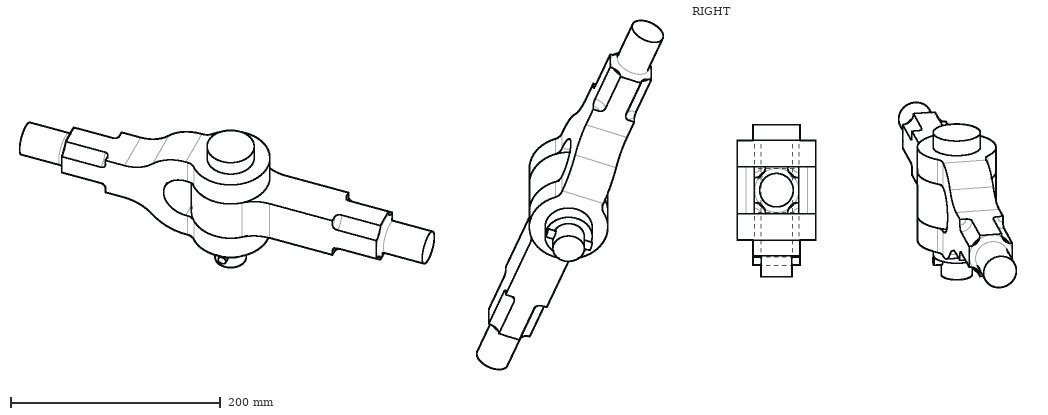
import cadquery as cq
import math


KNUCKLE_DIAMETER = 75.0
KNUCKLE_RADIUS = KNUCKLE_DIAMETER / 2
EYE_HEIGHT = 45.0
CHEEK_THICKNESS = 25.0
FORK_HEIGHT = EYE_HEIGHT + 2 * CHEEK_THICKNESS
ARM_WIDTH = 42.0
HALF_WIDTH = ARM_WIDTH / 2

FORK_ARM_HEIGHT = ARM_WIDTH
FORK_ARM_END_X = -165.0
FORK_ARC_CENTER_X = -38.0
FORK_SHOULDER_BLEND = 40.0
FORK_SIDE_BLEND = 10.0

EYE_ARM_END_X = 157.5
EYE_SIDE_BLEND = 40.0

STUD_DIAMETER = 32.0
STUD_LENGTH = 45.0
STUD_FLARE = (ARM_WIDTH - STUD_DIAMETER) / 2

SCALLOP_RADIUS = 10.5
SCALLOP_LENGTH = 45.0
SCALLOP_END_FILLET = 5.0

PIN_DIAMETER = 30.0
PIN_HEAD_DIAMETER = 45.0
PIN_HEAD_HEIGHT = 15.0
PIN_TAIL_LENGTH = 20.0
COLLAR_DIAMETER = 45.0
COLLAR_HEIGHT = 15.0
CROSS_PIN_DIAMETER = 8.0
CROSS_PIN_LENGTH = COLLAR_DIAMETER
CROSS_PIN_DROP = 5.0

FORK_TOP_Z = FORK_HEIGHT / 2
COLLAR_BOTTOM_Z = -FORK_TOP_Z - COLLAR_HEIGHT
PIN_BOTTOM_Z = COLLAR_BOTTOM_Z - PIN_TAIL_LENGTH
CROSS_PIN_Z = COLLAR_BOTTOM_Z - CROSS_PIN_DROP


def z_cylinder(diameter, bottom, top):
    """Cylinder on the pin axis between two heights."""
    return cq.Workplane("XY").workplane(offset=bottom).circle(diameter / 2).extrude(top - bottom)


def arm_and_knuckle(end_x, blend_radius, height):
    """Round knuckle with a straight arm to end_x, joined by tangent side blends."""
    side = math.copysign(1, end_x)
    blend_y = HALF_WIDTH + blend_radius
    blend_x = math.sqrt((KNUCKLE_RADIUS + blend_radius) ** 2 - blend_y ** 2)
    touch_share = KNUCKLE_RADIUS / (KNUCKLE_RADIUS + blend_radius)
    touch_x = side * blend_x * touch_share
    touch_y = blend_y * touch_share
    middle_angle = (math.atan2(blend_y, blend_x) + math.pi / 2) / 2
    middle_x = side * (blend_x - blend_radius * math.cos(middle_angle))
    middle_y = blend_y - blend_radius * math.sin(middle_angle)
    outline = (
        cq.Workplane("XY")
        .workplane(offset=-height / 2)
        .moveTo(end_x, HALF_WIDTH)
        .lineTo(side * blend_x, HALF_WIDTH)
        .threePointArc((middle_x, middle_y), (touch_x, touch_y))
        .threePointArc((-side * KNUCKLE_RADIUS, 0), (touch_x, -touch_y))
        .threePointArc((middle_x, -middle_y), (side * blend_x, -HALF_WIDTH))
        .lineTo(end_x, -HALF_WIDTH)
        .close()
    )
    return outline.extrude(height)


def fork_side_profile():
    """Side outline of the fork: slim arm flaring through S-curves to the full height."""
    outer = FORK_TOP_Z
    half_arm = FORK_ARM_HEIGHT / 2
    blend_z = half_arm + FORK_SHOULDER_BLEND
    blend_run = math.sqrt((outer + FORK_SHOULDER_BLEND) ** 2 - blend_z ** 2)
    blend_x = FORK_ARC_CENTER_X - blend_run
    slope = math.atan2(blend_z, blend_run)
    touch_x = FORK_ARC_CENTER_X - outer * math.cos(slope)
    touch_z = outer * math.sin(slope)
    middle_angle = (slope + math.pi / 2) / 2
    shoulder_x = FORK_ARC_CENTER_X - outer * math.cos(middle_angle)
    shoulder_z = outer * math.sin(middle_angle)
    neck_x = blend_x + FORK_SHOULDER_BLEND * math.cos(middle_angle)
    neck_z = blend_z - FORK_SHOULDER_BLEND * math.sin(middle_angle)
    return (
        cq.Workplane("XZ")
        .moveTo(FORK_ARM_END_X, half_arm)
        .lineTo(blend_x, half_arm)
        .threePointArc((neck_x, neck_z), (touch_x, touch_z))
        .threePointArc((shoulder_x, shoulder_z), (FORK_ARC_CENTER_X, outer))
        .lineTo(KNUCKLE_RADIUS, outer)
        .lineTo(KNUCKLE_RADIUS, -outer)
        .lineTo(FORK_ARC_CENTER_X, -outer)
        .threePointArc((shoulder_x, -shoulder_z), (touch_x, -touch_z))
        .threePointArc((neck_x, -neck_z), (blend_x, -half_arm))
        .lineTo(FORK_ARM_END_X, -half_arm)
        .close()
        .extrude(KNUCKLE_RADIUS, both=True)
    )


def fork_throat():
    """Round-bottomed slot between the cheeks."""
    half_gap = EYE_HEIGHT / 2
    return (
        cq.Workplane("XZ")
        .moveTo(KNUCKLE_RADIUS, half_gap)
        .lineTo(FORK_ARC_CENTER_X, half_gap)
        .threePointArc((FORK_ARC_CENTER_X - half_gap, 0), (FORK_ARC_CENTER_X, -half_gap))
        .lineTo(KNUCKLE_RADIUS, -half_gap)
        .close()
        .extrude(KNUCKLE_RADIUS, both=True)
    )


def stud(end_x):
    """Stud beyond the arm end, with a concave flare at its root."""
    side = math.copysign(1, end_x)
    radius = STUD_DIAMETER / 2
    diagonal = STUD_FLARE * (1 - math.sqrt(0.5))
    return (
        cq.Workplane("XY")
        .moveTo(end_x, 0)
        .lineTo(end_x, radius + STUD_FLARE)
        .threePointArc(
            (end_x + side * diagonal, radius + diagonal),
            (end_x + side * STUD_FLARE, radius),
        )
        .lineTo(end_x + side * STUD_LENGTH, radius)
        .lineTo(end_x + side * STUD_LENGTH, 0)
        .close()
        .revolve(360, (0, 0), (1, 0))
    )


def scallop_cutters(end_x, arm_height):
    """Round-ended cutters centred on the four long edges of the arm."""
    side = math.copysign(1, end_x)
    cutter = (
        cq.Workplane("YZ")
        .workplane(offset=end_x)
        .rect(ARM_WIDTH, arm_height, forConstruction=True)
        .vertices()
        .circle(SCALLOP_RADIUS)
        .extrude(-side * SCALLOP_LENGTH)
    )
    inner_end = "<X" if side > 0 else ">X"
    return cutter.faces(inner_end).edges().fillet(SCALLOP_END_FILLET)


def finish_arm(body, end_x, arm_height):
    """Scallop the arm edges, add the stud and bore the pin hole."""
    body = body.cut(scallop_cutters(end_x, arm_height)).union(stud(end_x))
    return body.cut(z_cylinder(PIN_DIAMETER, -FORK_TOP_Z, FORK_TOP_Z))


def make_fork():
    """Fork with two cheeks that straddle the eye."""
    fork = arm_and_knuckle(FORK_ARM_END_X, FORK_SIDE_BLEND, FORK_HEIGHT)
    fork = fork.intersect(fork_side_profile()).cut(fork_throat())
    return finish_arm(fork, FORK_ARM_END_X, FORK_ARM_HEIGHT)


def make_eye_rod():
    """Flat eye rod that fills the gap between the fork cheeks."""
    eye_rod = arm_and_knuckle(EYE_ARM_END_X, EYE_SIDE_BLEND, EYE_HEIGHT)
    return finish_arm(eye_rod, EYE_ARM_END_X, EYE_HEIGHT)


def make_cross_pin():
    """Plain cross pin along Y that holds the collar on."""
    return (
        cq.Workplane("XZ")
        .center(0, CROSS_PIN_Z)
        .circle(CROSS_PIN_DIAMETER / 2)
        .extrude(CROSS_PIN_LENGTH / 2, both=True)
    )


def make_pin():
    """Headed pin, cross-drilled through its tail."""
    head = z_cylinder(PIN_HEAD_DIAMETER, FORK_TOP_Z, FORK_TOP_Z + PIN_HEAD_HEIGHT)
    shank = z_cylinder(PIN_DIAMETER, PIN_BOTTOM_Z, FORK_TOP_Z)
    return head.union(shank).cut(make_cross_pin())


def make_collar():
    """Spacer ring under the lower cheek."""
    collar = z_cylinder(COLLAR_DIAMETER, COLLAR_BOTTOM_Z, -FORK_TOP_Z)
    return collar.cut(z_cylinder(PIN_DIAMETER, COLLAR_BOTTOM_Z, -FORK_TOP_Z))


fork = make_fork()
eye_rod = make_eye_rod()
pin = make_pin()
collar = make_collar()
cross_pin = make_cross_pin()

result = cq.Compound.makeCompound([
    fork.val(),
    eye_rod.val(),
    pin.val(),
    collar.val(),
    cross_pin.val(),
])